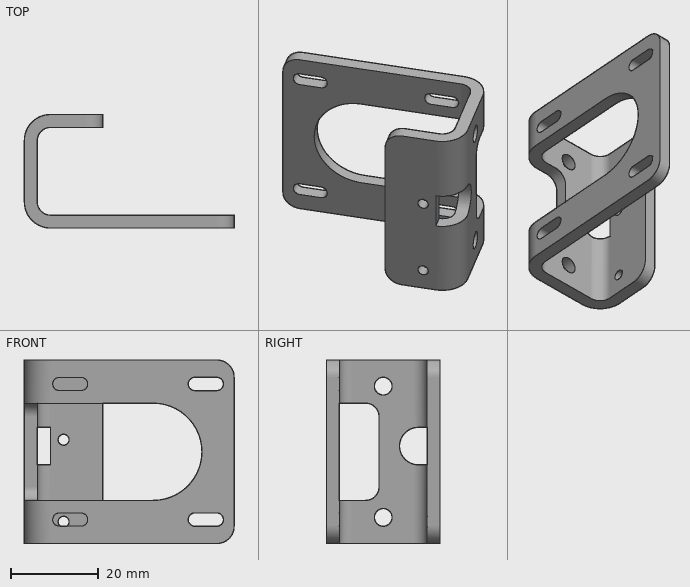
import cadquery as cq

LENGTH = 48.0
DEPTH = 26.0
HEIGHT = 42.0
SHORT_FLANGE = 18.0

THICKNESS = 3.0
BEND_OUTER = 6.0
BEND_INNER = BEND_OUTER - THICKNESS
CORNER_RADIUS = 4.0

SLOT_LENGTH = 8.0
SLOT_WIDTH = 3.0
SLOT_XS = (10.5, 41.5)
SLOT_Z = 15.5

WINDOW_HEIGHT = 22.16
WINDOW_ARC_X = 29.5
WINDOW_WEB_Y = 12.0
WINDOW_WEB_RADIUS = 3.0

NOTCH_WIDTH = 8.5
NOTCH_ARC_INSET = 5.0
NOTCH_Z = 1.3

WEB_HOLE_DIAMETER = 4.0
WEB_HOLE_Y = DEPTH / 2
WEB_HOLE_Z = 15.0
SMALL_HOLE_DIAMETER = 2.46
SMALL_HOLE_X = 9.0
SMALL_HOLE_ZS = (2.75, -16.0)


def block(x_range, y_range, z_range):
    """Box spanning the given (low, high) ranges."""
    (x0, x1), (y0, y1), (z0, z1) = x_range, y_range, z_range
    return cq.Workplane("XY").box(x1 - x0, y1 - y0, z1 - z0, centered=False).translate((x0, y0, z0))


def bent_sheet():
    """U-shaped sheet with rounded bends and rounded free corners."""
    half = HEIGHT / 2
    z_range = (-half, half)
    outer = block((0, LENGTH), (0, DEPTH), z_range).edges("|Z and <X").fillet(BEND_OUTER)
    inner = block((THICKNESS, LENGTH), (THICKNESS, DEPTH - THICKNESS), z_range)
    inner = inner.edges("|Z and <X").fillet(BEND_INNER)
    trim = block((SHORT_FLANGE, LENGTH), (DEPTH - THICKNESS, DEPTH), z_range)
    trimmed = outer.cut(inner).cut(trim)
    long_rounded = trimmed.edges("|Y and >X").fillet(CORNER_RADIUS)
    short_flange_corners = cq.selectors.BoxSelector(
        (BEND_OUTER, DEPTH - THICKNESS, -HEIGHT),
        (LENGTH, DEPTH, HEIGHT),
    )
    return long_rounded.edges("|Y").edges(short_flange_corners).fillet(CORNER_RADIUS)


def flange_slots():
    """Four slots through the long flange."""
    centres = [(x, z) for x in SLOT_XS for z in (-SLOT_Z, SLOT_Z)]
    plane = cq.Workplane("XZ").pushPoints(centres)
    return plane.slot2D(SLOT_LENGTH, SLOT_WIDTH).extrude(-THICKNESS)


def window():
    """Cutter for the window: rounded end in the long flange, rounded corners in the web."""
    half = WINDOW_HEIGHT / 2
    tip_x = WINDOW_ARC_X + half
    flange_part = (
        cq.Workplane("XZ")
        .moveTo(0, -half)
        .lineTo(WINDOW_ARC_X, -half)
        .threePointArc((tip_x, 0), (WINDOW_ARC_X, half))
        .lineTo(0, half)
        .close()
        .extrude(-THICKNESS)
    )
    web_part = block((0, BEND_OUTER), (0, WINDOW_WEB_Y), (-half, half))
    web_part = web_part.edges("|X and >Y").fillet(WINDOW_WEB_RADIUS)
    return flange_part.union(web_part)


def bend_notch():
    """Cutter for the notch, as deep in X as the bend."""
    half = NOTCH_WIDTH / 2
    arc_y = DEPTH - NOTCH_ARC_INSET
    tip_y = arc_y - half
    return (
        cq.Workplane("YZ")
        .moveTo(DEPTH, NOTCH_Z - half)
        .lineTo(arc_y, NOTCH_Z - half)
        .threePointArc((tip_y, NOTCH_Z), (arc_y, NOTCH_Z + half))
        .lineTo(DEPTH, NOTCH_Z + half)
        .close()
        .extrude(BEND_OUTER)
    )


def web_holes():
    """Two holes through the web."""
    centres = [(WEB_HOLE_Y, z) for z in (-WEB_HOLE_Z, WEB_HOLE_Z)]
    return cq.Workplane("YZ").pushPoints(centres).circle(WEB_HOLE_DIAMETER / 2).extrude(THICKNESS)


def small_holes():
    """Two small holes through the short flange."""
    centres = [(SMALL_HOLE_X, z) for z in SMALL_HOLE_ZS]
    plane = cq.Workplane("XZ", origin=(0, DEPTH, 0)).pushPoints(centres)
    return plane.circle(SMALL_HOLE_DIAMETER / 2).extrude(THICKNESS)


result = bent_sheet()
for cutter in (flange_slots(), window(), bend_notch(), web_holes(), small_holes()):
    result = result.cut(cutter)